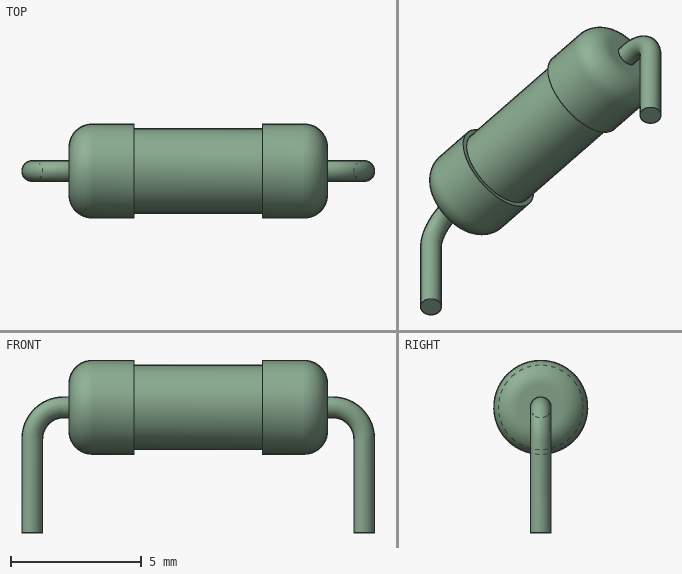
import cadquery as cq


body_length = 9.9
cap_diameter = 3.6
cap_length = 2.5
cap_edge_radius = 0.9
sleeve_diameter = 3.24

lead_pitch = 12.7
lead_diameter = 0.8
lead_bend_radius = 1.2
lead_drop = 4.8

cap_radius = cap_diameter / 2
sleeve_radius = sleeve_diameter / 2
lead_radius = lead_diameter / 2
body_end = body_length / 2
cap_inner_end = body_end - cap_length
lead_x = lead_pitch / 2
bend_start_x = lead_x - lead_bend_radius


def make_body():
    """Revolve the half profile of the sleeve and its two rounded end caps."""
    face_radius = cap_radius - cap_edge_radius
    rounding_start = body_end - cap_edge_radius
    profile = (
        cq.Workplane("XZ")
        .moveTo(-body_end, 0)
        .lineTo(-body_end, face_radius)
        .radiusArc((-rounding_start, cap_radius), cap_edge_radius)
        .lineTo(-cap_inner_end, cap_radius)
        .lineTo(-cap_inner_end, sleeve_radius)
        .lineTo(cap_inner_end, sleeve_radius)
        .lineTo(cap_inner_end, cap_radius)
        .lineTo(rounding_start, cap_radius)
        .radiusArc((body_end, face_radius), cap_edge_radius)
        .lineTo(body_end, 0)
        .close()
    )
    return profile.revolve(360, (0, 0, 0), (1, 0, 0))


def make_right_lead():
    """Sweep the +X wire from inside its cap, round the bend and down to the tip."""
    path = (
        cq.Workplane("XZ")
        .moveTo(cap_inner_end, 0)
        .lineTo(bend_start_x, 0)
        .radiusArc((lead_x, -lead_bend_radius), lead_bend_radius)
        .lineTo(lead_x, -lead_drop)
    )
    section = cq.Workplane("YZ", origin=(cap_inner_end, 0, 0)).circle(lead_radius)
    return section.sweep(path)


right_lead = make_right_lead()
left_lead = right_lead.mirror("YZ")
result = make_body().union(right_lead).union(left_lead)